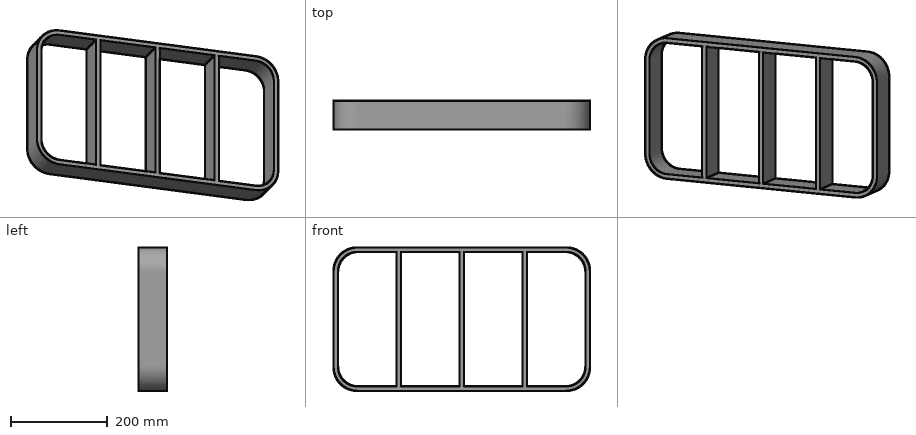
import cadquery as cq

length = 532.0
depth = 60.0
height = 298.0

wall = 10.0
divider_thickness = 10.0
divider_count = 3
outer_radius = 50.0
inner_radius = outer_radius - wall

inner_length = length - 2 * wall
inner_height = height - 2 * wall
cell_width = (inner_length - divider_count * divider_thickness) / (divider_count + 1)
divider_pitch = cell_width + divider_thickness


def rounded_block(block_length, block_height, corner_radius):
    """Block centred on the origin with its four Y-direction edges rounded."""
    block = cq.Workplane("XY").box(block_length, depth, block_height)
    return block.edges("|Y").fillet(corner_radius)


def divider(index):
    """Upright plate that reaches the top and bottom walls."""
    x = (index - (divider_count - 1) / 2) * divider_pitch
    plate = cq.Workplane("XY").box(divider_thickness, depth, inner_height)
    return plate.translate((x, 0, 0))


result = rounded_block(length, height, outer_radius)
result = result.cut(rounded_block(inner_length, inner_height, inner_radius))
for i in range(divider_count):
    result = result.union(divider(i))